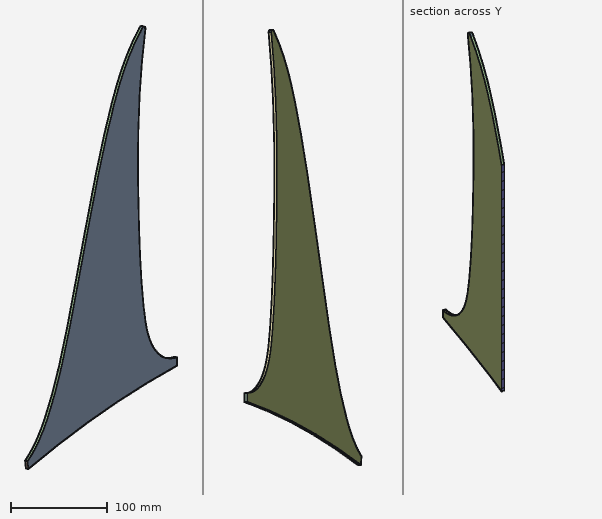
import cadquery as cq

thickness = 3.17
length = 285.91
height = 419.27

heel_bottom = (length, 14.0)
heel_top = (length, 23.5)

toe_bottom = (1.5, 0.0)
toe_top = (0.0, 9.5)

base_mid = (126.0, 12.2)

tip_rear = (225.8, height - 3.2)
tip_crown = (221.56, height)
tip_front = (218.0, height - 1.8)

leading_edge = [
    (184.8, 384.0),
    (160.0, 341.0),
    (126.0, 258.5),
    (80.0, 129.3),
    (40.5, 47.5),
    (27.5, 30.5),
]

trailing_edge = [
    (257.0, 35.2),
    (237.0, 56.8),
    (222.0, 105.0),
    (213.5, 195.0),
    (211.5, 289.0),
    (215.5, 354.0),
]


def fin_outline():
    """Closed fin profile, drawn up the trailing edge from the heel's lower corner."""
    return (
        cq.Workplane("YZ", origin=(-thickness / 2, 0, 0))
        .moveTo(*heel_bottom)
        .lineTo(*heel_top)
        .spline(trailing_edge + [tip_rear], includeCurrent=True)
        .threePointArc(tip_crown, tip_front)
        .spline(leading_edge + [toe_top], includeCurrent=True)
        .lineTo(*toe_bottom)
        .threePointArc(base_mid, heel_bottom)
        .close()
    )


result = fin_outline().extrude(thickness)